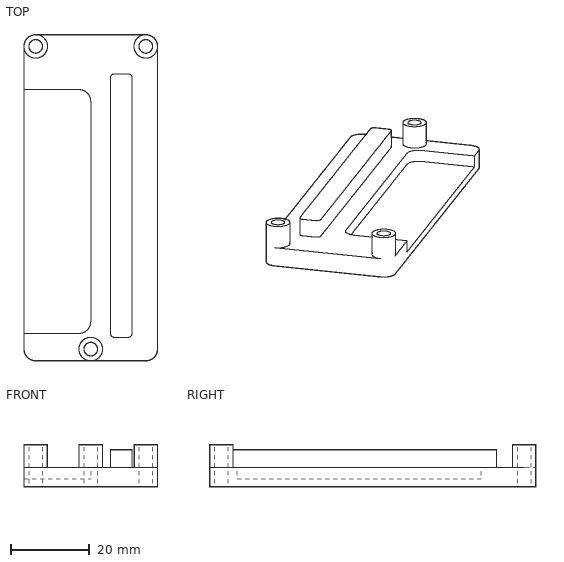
import cadquery as cq

PLATE_WIDTH = 34.0
PLATE_LENGTH = 83.0
PLATE_THICKNESS = 5.0
CORNER_RADIUS = 3.0

TOTAL_HEIGHT = 10.8
BOSS_RADIUS = CORNER_RADIUS
HOLE_DIAMETER = 3.4

POCKET_INNER_X = 0.0
POCKET_LENGTH = 62.0
POCKET_CENTER_Y = -3.5
POCKET_DEPTH = 3.0
POCKET_RADIUS = 3.0

RAIL_WIDTH = 5.5
RAIL_LENGTH = 67.0
RAIL_HEIGHT = 4.5
RAIL_CENTER_X = 7.75
RAIL_CENTER_Y = -2.0
RAIL_RADIUS = 1.0

BOSS_X = PLATE_WIDTH / 2 - BOSS_RADIUS
BOSS_Y = PLATE_LENGTH / 2 - BOSS_RADIUS
BOSS_CENTERS = [(-BOSS_X, BOSS_Y), (BOSS_X, BOSS_Y), (0, -BOSS_Y)]


def rounded_block(width, length, height, radius):
    """Block standing on Z = 0 with rounded vertical edges."""
    block = cq.Workplane("XY").box(width, length, height, centered=(True, True, False))
    return block.edges("|Z").fillet(radius)


def make_pocket():
    """Cutter for the pocket, with only its inner corners rounded."""
    width = POCKET_INNER_X + PLATE_WIDTH / 2
    cutter = cq.Workplane("XY").box(width, POCKET_LENGTH, POCKET_DEPTH, centered=(False, True, False))
    cutter = cutter.edges("|Z and >X").fillet(POCKET_RADIUS)
    return cutter.translate((-PLATE_WIDTH / 2, POCKET_CENTER_Y, PLATE_THICKNESS - POCKET_DEPTH))


def make_rail():
    """Rail standing on the top face of the plate."""
    rail = rounded_block(RAIL_WIDTH, RAIL_LENGTH, RAIL_HEIGHT, RAIL_RADIUS)
    return rail.translate((RAIL_CENTER_X, RAIL_CENTER_Y, PLATE_THICKNESS))


def make_bosses():
    """Cylindrical bosses from the plate underside to the full height."""
    return cq.Workplane("XY").pushPoints(BOSS_CENTERS).circle(BOSS_RADIUS).extrude(TOTAL_HEIGHT)


def make_holes():
    """Cutters for the through holes in the bosses."""
    return cq.Workplane("XY").pushPoints(BOSS_CENTERS).circle(HOLE_DIAMETER / 2).extrude(TOTAL_HEIGHT)


plate = rounded_block(PLATE_WIDTH, PLATE_LENGTH, PLATE_THICKNESS, CORNER_RADIUS)
result = plate.cut(make_pocket()).union(make_rail()).union(make_bosses()).cut(make_holes())